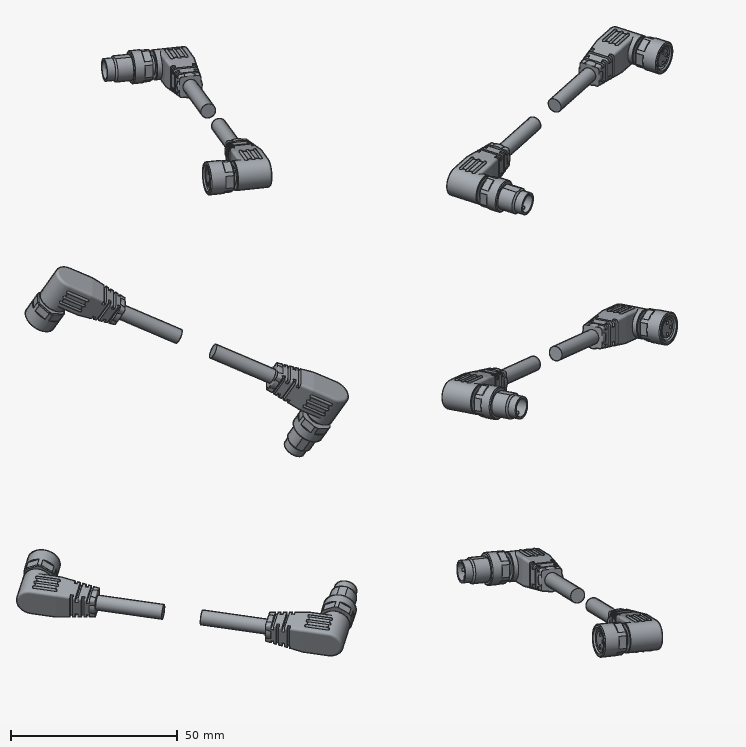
import cadquery as cq
import math


OVERALL_LENGTH = 101.0
NUT_D = 10.0
AXIS_SPAN = OVERALL_LENGTH - NUT_D

HOUSING_D = 9.1
HOUSING_R = HOUSING_D / 2
BARREL_END_Y = -6.3
BARREL_RIM_CHAMFER = 0.2
EDGE_FILLET = 0.8
ARM_LENGTH = 7.6

RIB_HEIGHT = 0.45
RIB_WIDTH = 1.0
RIB_PITCH = 2.2
RIB_COUNT = 3
PAD_HEIGHT = 0.15
PAD_INSET = 0.6

RELIEF_END_X = 19.4
RELIEF_END_SIDE = 6.7
SLOT_WIDTH = 0.8
SIDE_SLOTS = [(11.8, 2.7), (15.3, 2.3)]
FACE_SLOTS = [(13.4, 2.3), (16.9, 2.3)]
COLLAR_START_X = 17.7
COLLAR_D = 7.6
COLLAR_END_FILLET = 0.3

CABLE_D = 4.5
CABLE_END_X = 39.6

NECK_D = 5.8
HEX_FLATS = 9.2
NUT_SHOULDER_Y = -10.0
NUT_RIM_CHAMFER = 0.3
CONTACT_CIRCLE_R = 1.8
CONTACT_PLACES = [(0, CONTACT_CIRCLE_R), (0, -CONTACT_CIRCLE_R), (-CONTACT_CIRCLE_R, 0)]

MALE_HEX_Y = -7.5
MALE_FLANGE_END_Y = -13.3
SLEEVE_D = 8.0
SLEEVE_FLATS = 7.6
SLEEVE_END_Y = -18.8
TIP_D = 6.9
OVERALL_DEPTH = 25.9
TIP_END_Y = HOUSING_R - OVERALL_DEPTH
TIP_BORE_D = 5.7
TIP_BORE_DEPTH = 4.5
PIN_D = 1.0
PIN_RECESS = 1.0

FEMALE_HEX_Y = -7.2
FEMALE_HEX_CHAMFER = 0.3
FEMALE_END_Y = -14.7
FEMALE_MOUTH_D = 8.1
FEMALE_BORE_D = 7.1
FEMALE_BORE_DEPTH = 5.0
CORE_D = 5.7
CORE_RECESS = 0.6
SOCKET_D = 1.1
SOCKET_DEPTH = 3.0


def plug_cylinder(diameter, start_y, end_y):
    """Cylinder on the plug axis, from start_y down to end_y."""
    return cq.Workplane("XZ", origin=(0, start_y, 0)).circle(diameter / 2).extrude(start_y - end_y)


def contacts(diameter, start_y, end_y):
    """Three parallel cylinders, one at each contact place."""
    plane = cq.Workplane("XZ", origin=(0, start_y, 0)).pushPoints(CONTACT_PLACES)
    return plane.circle(diameter / 2).extrude(start_y - end_y)


def rounded_square(side):
    """Cross-section of the arm and of the strain relief."""
    return cq.Sketch().rect(side, side).vertices().fillet(EDGE_FILLET)


def housing():
    """Round barrel with the square arm that leaves it sideways."""
    barrel = plug_cylinder(HOUSING_D, HOUSING_R, BARREL_END_Y)
    barrel = barrel.faces(">Y").edges().fillet(EDGE_FILLET)
    barrel = barrel.faces("<Y").edges().chamfer(BARREL_RIM_CHAMFER)
    arm = cq.Workplane("YZ").placeSketch(rounded_square(HOUSING_D)).extrude(ARM_LENGTH)
    return barrel.union(arm)


def grip_rib():
    """Round bar along +X with ball ends, starting at the origin."""
    radius = RIB_WIDTH / 2
    bend = radius * math.sin(math.radians(45))
    return (
        cq.Workplane("XY")
        .moveTo(0, 0)
        .threePointArc((radius - bend, bend), (radius, radius))
        .lineTo(ARM_LENGTH - radius, radius)
        .threePointArc((ARM_LENGTH - radius + bend, bend), (ARM_LENGTH, 0))
        .close()
        .revolve(360, (0, 0, 0), (1, 0, 0))
    )


def grip():
    """Ribs half sunk into the upper and lower faces of the arm, with a low pad between them."""
    rib_z = HOUSING_R + RIB_HEIGHT - RIB_WIDTH / 2
    pad_length = ARM_LENGTH - 2 * PAD_INSET
    pad_width = (RIB_COUNT - 1) * RIB_PITCH
    grip_body = cq.Workplane("XY").box(pad_length, pad_width, HOUSING_D + 2 * PAD_HEIGHT)
    grip_body = grip_body.translate((ARM_LENGTH / 2, 0, 0))
    for index in range(RIB_COUNT):
        rib_y = (index - (RIB_COUNT - 1) / 2) * RIB_PITCH
        for rib_side in (1, -1):
            grip_body = grip_body.union(grip_rib().translate((0, rib_y, rib_side * rib_z)))
    return grip_body


def slot_pair(start_x, core_half):
    """Two slots across the strain relief, above and below the core that they leave."""
    centre_x = start_x + SLOT_WIDTH / 2
    centre_z = core_half + HOUSING_R
    slot = cq.Workplane("XY").box(SLOT_WIDTH, HOUSING_D, HOUSING_D)
    return slot.translate((centre_x, 0, centre_z)).union(slot.translate((centre_x, 0, -centre_z)))


def strain_relief():
    """Tapered, slotted sleeve that ends in a round collar."""
    start = rounded_square(HOUSING_D)
    to_end = cq.Location(cq.Vector(0, 0, RELIEF_END_X - ARM_LENGTH))
    end = rounded_square(RELIEF_END_SIDE).moved(to_end)
    relief = cq.Workplane("YZ", origin=(ARM_LENGTH, 0, 0)).placeSketch(start, end).loft()
    for start_x, core_half in SIDE_SLOTS:
        relief = relief.cut(slot_pair(start_x, core_half).rotate((0, 0, 0), (1, 0, 0), 90))
    for start_x, core_half in FACE_SLOTS:
        relief = relief.cut(slot_pair(start_x, core_half))
    collar = (
        cq.Workplane("YZ", origin=(COLLAR_START_X, 0, 0))
        .circle(COLLAR_D / 2)
        .extrude(RELIEF_END_X - COLLAR_START_X)
    )
    collar = collar.faces(">X").edges().fillet(COLLAR_END_FILLET)
    return relief.union(collar)


def cable():
    """Cut length of round cable leaving the collar."""
    free_length = CABLE_END_X - RELIEF_END_X
    return cq.Workplane("YZ", origin=(RELIEF_END_X, 0, 0)).circle(CABLE_D / 2).extrude(free_length)


def cable_side():
    """Everything that both connectors share apart from the plug."""
    return housing().union(grip()).union(strain_relief()).union(cable())


def coupling(hex_y, flange_end_y, hex_chamfer=0):
    """Neck, hexagon with rounded corners and round flange, with flats facing along X."""
    neck = plug_cylinder(NECK_D, BARREL_END_Y, hex_y)
    hexagon = (
        cq.Workplane("XZ", origin=(0, hex_y, 0))
        .polygon(6, HEX_FLATS, circumscribed=True)
        .extrude(hex_y - NUT_SHOULDER_Y)
        .intersect(plug_cylinder(NUT_D, hex_y, NUT_SHOULDER_Y))
    )
    if hex_chamfer:
        hexagon = hexagon.faces(">Y").edges().chamfer(hex_chamfer)
    flange = plug_cylinder(NUT_D, NUT_SHOULDER_Y, flange_end_y)
    flange = flange.faces("<Y").edges().chamfer(NUT_RIM_CHAMFER)
    return neck.union(hexagon).union(flange)


def male_plug():
    """Stepped sleeve with a hollow tip and three round-tipped pins inside it."""
    sleeve = plug_cylinder(SLEEVE_D, MALE_FLANGE_END_Y, SLEEVE_END_Y)
    sleeve = sleeve.faces("<Y").edges().chamfer((SLEEVE_D - TIP_D) / 2)
    sleeve_length = MALE_FLANGE_END_Y - SLEEVE_END_Y
    flats = cq.Workplane("XY").box(SLEEVE_D, sleeve_length, SLEEVE_FLATS)
    flats = flats.translate((0, SLEEVE_END_Y + sleeve_length / 2, 0))
    plug = coupling(MALE_HEX_Y, MALE_FLANGE_END_Y).union(sleeve.intersect(flats))
    plug = plug.union(plug_cylinder(TIP_D, SLEEVE_END_Y, TIP_END_Y))
    bore_floor_y = TIP_END_Y + TIP_BORE_DEPTH
    plug = plug.cut(plug_cylinder(TIP_BORE_D, bore_floor_y, TIP_END_Y))
    shoulder_y = TIP_END_Y + PIN_RECESS + PIN_D / 2
    pins = contacts(PIN_D, bore_floor_y, shoulder_y)
    for x, z in CONTACT_PLACES:
        pins = pins.union(cq.Workplane("XY", origin=(x, shoulder_y, z)).sphere(PIN_D / 2))
    return plug.union(pins)


def female_plug():
    """Hollow nut with a flared mouth around a recessed core with three contact sockets."""
    plug = coupling(FEMALE_HEX_Y, FEMALE_END_Y, FEMALE_HEX_CHAMFER)
    bore_floor_y = FEMALE_END_Y + FEMALE_BORE_DEPTH
    plug = plug.cut(plug_cylinder(FEMALE_BORE_D, bore_floor_y, FEMALE_END_Y))
    mouth_chamfer = (FEMALE_MOUTH_D - FEMALE_BORE_D) / 2
    mouth = plug.faces("<Y").edges(cq.selectors.RadiusNthSelector(0))
    plug = mouth.chamfer(mouth_chamfer)
    core_end_y = FEMALE_END_Y + CORE_RECESS
    core = plug_cylinder(CORE_D, bore_floor_y, core_end_y)
    core = core.cut(contacts(SOCKET_D, core_end_y + SOCKET_DEPTH, core_end_y))
    return plug.union(core)


male_connector = cable_side().union(male_plug()).translate((-AXIS_SPAN / 2, 0, 0))
female_connector = cable_side().union(female_plug()).mirror("YZ").translate((AXIS_SPAN / 2, 0, 0))

result = cq.Compound.makeCompound([male_connector.val(), female_connector.val()])